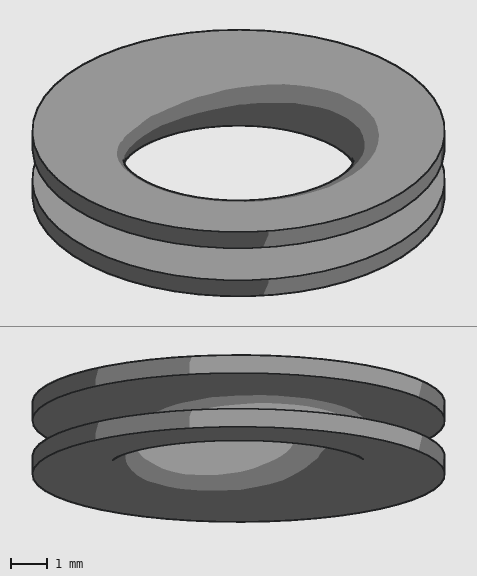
import cadquery as cq

outer_diameter = 11.2
height = 2.0
bore_diameter = 6.2
wall = 0.5

outer_radius = outer_diameter / 2
bore_radius = bore_diameter / 2
half_height = height / 2
half_gap = half_height - wall
arc_center_radius = bore_radius + half_height
groove_radius = bore_radius + wall

section = (
    cq.Workplane("XZ")
    .moveTo(outer_radius, half_height)
    .lineTo(arc_center_radius, half_height)
    .threePointArc((bore_radius, 0), (arc_center_radius, -half_height))
    .lineTo(outer_radius, -half_height)
    .lineTo(outer_radius, -half_gap)
    .lineTo(arc_center_radius, -half_gap)
    .threePointArc((groove_radius, 0), (arc_center_radius, half_gap))
    .lineTo(outer_radius, half_gap)
    .close()
)

result = section.revolve(360, (0, 0, 0), (0, 1, 0))